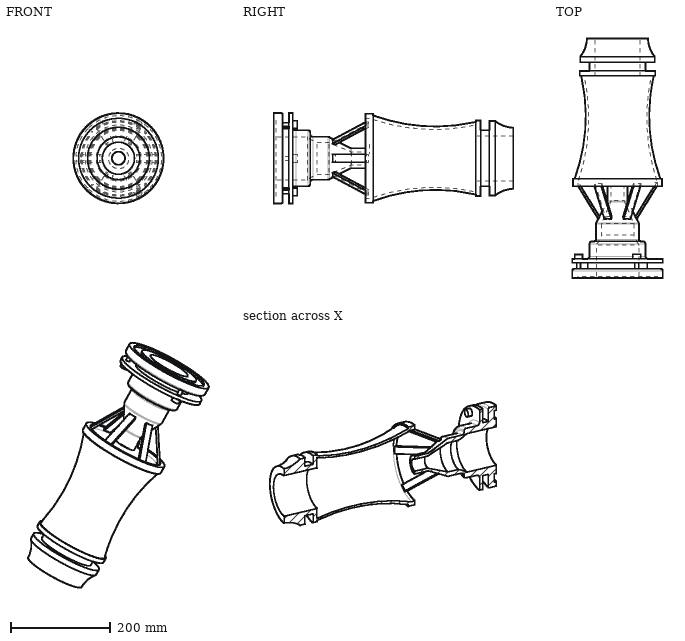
import cadquery as cq
import math


total_length = 483.5
flange_radius = 183.0 / 2

flange_thickness = 19.0
flange_fillet = 4.0
groove_inner_radius = 125.0 / 2
groove_outer_radius = 161.0 / 2
groove_depth = 4.0

clamp_bottom = 31.0
clamp_top = 38.5

pipe_collar_radius = 121.0 / 2
pipe_wide_radius = 113.0 / 2
pipe_wide_top = 74.0
pipe_narrow_radius = 87.0 / 2
pipe_narrow_top = 110.7
collar_fillet = 6.0
shoulder_fillet = 5.0
cone_fillet = 5.0
jet_radius = 41.0 / 2
jet_bottom = 155.2
jet_top = 186.0

bore_inlet_radius = 86.0 / 2
bore_inlet_top = 67.5
bore_throat_radius = 65.0 / 2
bore_throat_bottom = 87.0
bore_reduction_bulge = 1.0
bore_throat_top = pipe_narrow_top
jet_bore_radius = 26.0 / 2
jet_cone_length = 46.0

bolt_count = 3
bolt_circle_radius = 78.5
bolt_head_radius = 16.0 / 2
bolt_head_height = 9.0
bolt_shank_radius = 8.0 / 2

rim_bottom = 185.0
rim_top = 200.5
rim_radius = 180.5 / 2
rim_bore_radius = 161.0 / 2
rim_bore_top = 193.0
band_bottom = 408.0
band_top = 418.0
band_radius = 153.0 / 2
sleeve_bottom_radius = 173.0 / 2
sleeve_waist_radius = 128.5 / 2
sleeve_waist_y = 323.5
sleeve_top_radius = 147.0 / 2
sleeve_wall = 6.0

neck_radius = 113.0 / 2
lip_bottom = 435.3
lip_top = 447.0
lip_radius = 151.0 / 2
mouth_radius = 124.0 / 2
outlet_bore_radius = 91.0 / 2

strut_count = 6
strut_width = 16.0
strut_radial_thickness = 6.0
strut_foot_y = 118.0
strut_foot_radius = 38.0
strut_head_y = 191.0
strut_head_radius = 83.0


def revolve(profile):
    """Turn a closed XY outline once round the Y axis."""
    return profile.close().revolve(360, (0, 0, 0), (0, 1, 0))


def disc(radius, bottom, top):
    """Solid cylinder on the Y axis between two Y levels."""
    return cq.Workplane("XZ", origin=(0, bottom, 0)).circle(radius).extrude(bottom - top)


def fillet_ring(body, y, radius, fillet):
    """Fillet the circular edge of the given radius at level y."""
    def is_ring(edge):
        return (
            edge.geomType() == "CIRCLE"
            and math.isclose(edge.radius(), radius, abs_tol=0.005)
            and math.isclose(edge.Center().y, y, abs_tol=0.005)
        )

    rings = [edge for edge in body.edges().vals() if is_ring(edge)]
    return body.newObject(rings).fillet(fillet)


def around_axis(body, count, start_angle):
    """Copies of a body spaced evenly round the Y axis."""
    step = 360 / count
    return [body.rotate((0, 0, 0), (0, 1, 0), start_angle + i * step) for i in range(count)]


def make_flange():
    flange = disc(flange_radius, 0, flange_thickness)
    flange = fillet_ring(flange, flange_thickness, flange_radius, flange_fillet)
    groove = disc(groove_outer_radius, 0, groove_depth).cut(disc(groove_inner_radius, 0, groove_depth))
    return flange.cut(groove)


def make_pipe():
    pipe = revolve(
        cq.Workplane("XY")
        .moveTo(0, 0)
        .lineTo(pipe_collar_radius, 0)
        .lineTo(pipe_collar_radius, clamp_top)
        .lineTo(pipe_wide_radius + collar_fillet, clamp_top)
        .radiusArc((pipe_wide_radius, clamp_top + collar_fillet), collar_fillet)
        .lineTo(pipe_wide_radius, pipe_wide_top)
        .lineTo(pipe_narrow_radius, pipe_wide_top)
        .lineTo(pipe_narrow_radius, pipe_narrow_top)
        .lineTo(jet_radius, jet_bottom)
        .lineTo(jet_radius, jet_top)
        .lineTo(0, jet_top)
    )
    pipe = fillet_ring(pipe, pipe_wide_top, pipe_wide_radius, shoulder_fillet)
    pipe = fillet_ring(pipe, pipe_wide_top, pipe_narrow_radius, shoulder_fillet)
    pipe = fillet_ring(pipe, pipe_narrow_top, pipe_narrow_radius, cone_fillet)
    return fillet_ring(pipe, jet_bottom, jet_radius, cone_fillet)


def make_pipe_bore():
    return revolve(
        cq.Workplane("XY")
        .moveTo(0, 0)
        .lineTo(bore_inlet_radius, 0)
        .lineTo(bore_inlet_radius, bore_inlet_top)
        .sagittaArc((bore_throat_radius, bore_throat_bottom), bore_reduction_bulge)
        .lineTo(bore_throat_radius, bore_throat_top)
        .lineTo(jet_bore_radius, bore_throat_top + jet_cone_length)
        .lineTo(jet_bore_radius, jet_top)
        .lineTo(0, jet_top)
    )


def make_bolts():
    shank = disc(bolt_shank_radius, flange_thickness, clamp_bottom)
    head = disc(bolt_head_radius, clamp_top, clamp_top + bolt_head_height)
    bolt = shank.add(head).translate((-bolt_circle_radius, 0, 0))
    return around_axis(bolt, bolt_count, 0)


def make_struts():
    inner_foot_radius = strut_foot_radius - strut_radial_thickness
    inner_head_radius = strut_head_radius - strut_radial_thickness
    strut = (
        cq.Workplane("XY")
        .moveTo(strut_foot_radius, strut_foot_y)
        .lineTo(strut_head_radius, strut_head_y)
        .lineTo(inner_head_radius, strut_head_y)
        .lineTo(inner_foot_radius, strut_foot_y)
        .close()
        .extrude(strut_width / 2, both=True)
    )
    return around_axis(strut, strut_count, 0)


def make_shell():
    shell = revolve(
        cq.Workplane("XY")
        .moveTo(rim_bore_radius, rim_bottom)
        .lineTo(rim_radius, rim_bottom)
        .lineTo(rim_radius, rim_top)
        .lineTo(sleeve_bottom_radius, rim_top)
        .spline([(sleeve_waist_radius, sleeve_waist_y), (sleeve_top_radius, band_bottom)], includeCurrent=True)
        .lineTo(band_radius, band_bottom)
        .lineTo(band_radius, band_top)
        .lineTo(outlet_bore_radius, band_top)
        .lineTo(outlet_bore_radius, band_bottom)
        .lineTo(sleeve_top_radius - sleeve_wall, band_bottom)
        .spline(
            [
                (sleeve_waist_radius - sleeve_wall, sleeve_waist_y),
                (rim_bore_radius, rim_bore_top),
            ],
            includeCurrent=True,
        )
    )
    return shell


def make_outlet():
    mouth_height = total_length - lip_top
    lip_flare = lip_radius - mouth_radius
    arc_radius = (mouth_height**2 + lip_flare**2) / (2 * lip_flare)
    return revolve(
        cq.Workplane("XY")
        .moveTo(outlet_bore_radius, band_top)
        .lineTo(neck_radius, band_top)
        .lineTo(neck_radius, lip_bottom)
        .lineTo(lip_radius, lip_bottom)
        .lineTo(lip_radius, lip_top)
        .radiusArc((mouth_radius, total_length), arc_radius)
        .lineTo(outlet_bore_radius, total_length)
    )


body = make_pipe().union(make_flange()).union(disc(flange_radius, clamp_bottom, clamp_top))
for strut in make_struts():
    body = body.union(strut)
body = body.union(make_shell()).union(make_outlet()).cut(make_pipe_bore())
for bolt in make_bolts():
    for piece in bolt.vals():
        body = body.union(cq.Workplane(piece))
result = body